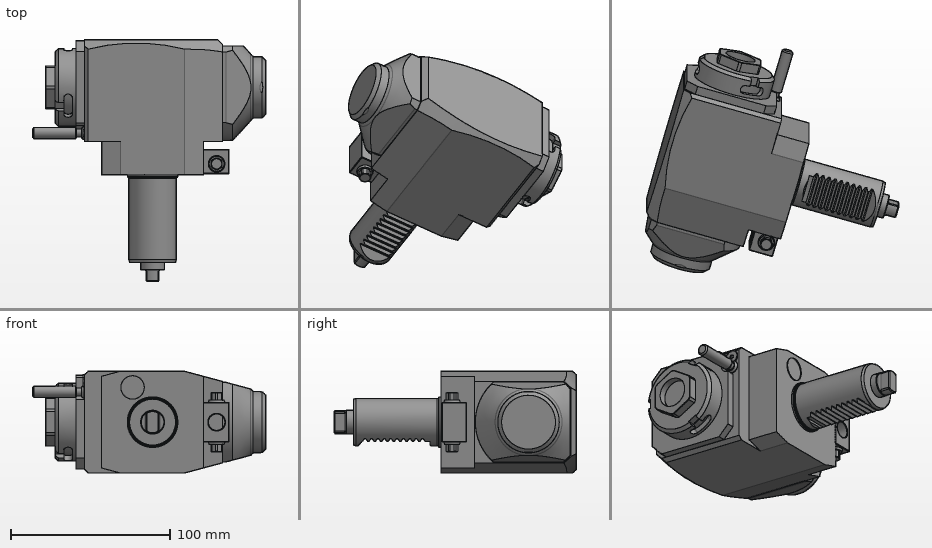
import cadquery as cq
import math


half_height = 32.0
body_left = -42.8
body_right = 44.0
body_front = 21.0
body_back = 85.0
end_chamfer = 2.4
back_corner_chamfer = 3.2
foot_half_width = 32.0
taper_start = 20.0
taper_angle = 15.0
taper_slope = math.tan(math.radians(taper_angle))

trim_center_x = -10.2
trim_radius = 122.0
trim_back_y = 82.8

spindle_y = 55.0
flare_radius = 33.4
flare_end_x = 50.2
cone_end_x = 61.6
cone_end_radius = 21.0
nose_radius = 19.3
nose_start_x = 63.1
nose_end_x = 71.1
nose_chamfer = 2.4
flare_back_y = 81.0
flare_half_height = 25.05

plate_face_x = -48.1
plate_front = 25.8
plate_back = 84.4
plate_half_height = 29.5
plate_chamfer = 7.0
notch_radius = 4.9
notch_corner_chamfer = 1.4

collar_radius = 24.5
collar_face_x = -61.2
collar_chamfer = 2.0
entry_floor_radius = 21.5
entry_width = 6.0
slot_floor_radius = 21.0
slot_center_x = -53.0
slot_width = 5.4
slot_length = 16.8
slot_count = 3

nut_face_x = -67.35
nut_across_flats = 27.0
nut_corner_diameter = 30.1
nut_bore_diameter = 18.9
nut_bore_depth = 5.0
nut_chamfer = 0.3

pin_y = 26.3
pin_z = 19.0
pin_length = 32.48
pin_end_x = body_left - pin_length
pin_radius = 3.6
pin_chamfer = 0.9
pin_neck_start_x = -48.3
pin_neck_radius = 2.5
pin_shoulder_x = -47.6
pin_flange_start_x = -44.6
pin_flange_start_radius = 3.1
pin_flange_radius = 4.1
pin_flange_thickness = 0.3
disc_radius = 4.1
disc_z = 25.8
disc_thickness = 0.8
disc_hole_radius = 1.2

shank_radius = 15.0
shank_end_y = -55.0
shank_collar_radius = 15.9
shank_collar_thickness = 1.5
shank_collar_chamfer = 0.4
shank_relief_radius = 14.9
shank_relief_end_y = -2.3
shank_tip_length = 1.8
shank_tip_reduction = 0.6
spigot_radius = 7.5
spigot_chamfer = 0.4
spigot_end_y = -59.7
tang_radius = 7.3
tang_end_y = -67.0
tang_thickness = 8.0
tang_chamfer = 0.65
tang_root_fillet = 0.8

rack_start_y = -7.0
rack_edge_chamfer = 1.0
tooth_tip_z = -12.3
tooth_root_z = -10.5
tooth_pitch = 4.0
tooth_gap_count = 10
first_gap_y = -11.5
gap_floor_width = 0.8
gap_mouth_width = 3.5
rack_ramp_end_y = -52.2

block_end_x = 48.1
block_front = 0.7
block_back = 16.1
block_half_height = 12.4
block_chamfer = 0.4
block_bore_diameter = 10.3
screw_x = 40.2
screw_y = 7.0
screw_flange_radius = 5.2
screw_flange_top_radius = 4.7
screw_flange_thickness = 1.5
screw_across_flats = 7.0
screw_corner_diameter = 7.5
screw_top_z = 18.7
screw_tip_chamfer = 0.5

recess_x = -12.55
recess_z = 21.8
recess_diameter = 14.7
recess_depth = 0.6


def box(x_range, y_range, z_range):
    """Axis-aligned box from three (low, high) ranges."""
    size = [high - low for low, high in (x_range, y_range, z_range)]
    corner = (x_range[0], y_range[0], z_range[0])
    return cq.Workplane("XY").box(*size, centered=False).translate(corner)


def turned_x(points, y=0.0, z=0.0):
    """Solid turned about an axis parallel to X; points are (x, radius)."""
    profile = [(points[0][0], 0.0)] + points + [(points[-1][0], 0.0)]
    turned = cq.Workplane("XY").polyline(profile).close().revolve(360, (0, 0, 0), (1, 0, 0))
    return turned.translate((0, y, z))


def turned_y(points):
    """Solid turned about the Y axis; points are (y, radius)."""
    profile = [(0.0, points[0][0])] + [(r, y) for y, r in points] + [(0.0, points[-1][0])]
    return cq.Workplane("XY").polyline(profile).close().revolve(360, (0, 0, 0), (0, 1, 0))


def prism_y(outline, y_low, y_high):
    """Prism along Y from an outline of (x, z) points."""
    return cq.Workplane("XZ", origin=(0, y_low, 0)).polyline(outline).close().extrude(y_low - y_high)


def prism_x(outline, x_low, x_high):
    """Prism along X from an outline of (y, z) points."""
    return cq.Workplane("YZ", origin=(x_low, 0, 0)).polyline(outline).close().extrude(x_high - x_low)


def taper_height(x):
    """Half height of the housing where it tapers away from the shank axis."""
    return half_height - (abs(x) - taper_start) * taper_slope


def mirrored_z(upper_points):
    """Close an outline of upper-half (x, z) points with its mirror image."""
    return upper_points + [(x, -z) for x, z in reversed(upper_points)]


def edge_trim_cone():
    """Cone frustum around the housing whose flank chamfers the top back edge."""
    center_y = trim_back_y - trim_radius
    profile = [
        (0, 0),
        (trim_radius + half_height, 0),
        (trim_radius, half_height),
        (0, half_height),
    ]
    upper = cq.Workplane("XZ").polyline(profile).close().revolve(360, (0, 0, 0), (0, 1, 0))
    return upper.union(upper.mirror("XY")).translate((trim_center_x, center_y, 0))


def make_body():
    upper = mirrored_z([
        (body_left, half_height - end_chamfer),
        (body_left + end_chamfer, half_height),
        (taper_start, half_height),
        (body_right, taper_height(body_right)),
    ])
    body = prism_y(upper, body_front, body_back)
    body = body.edges("|Z and >X and >Y").chamfer(back_corner_chamfer)
    body = body.intersect(edge_trim_cone())
    foot = mirrored_z([
        (-foot_half_width, taper_height(foot_half_width)),
        (-taper_start, half_height),
        (taper_start, half_height),
        (foot_half_width, taper_height(foot_half_width)),
    ])
    return body.union(prism_y(foot, 0, body_front))


def make_spindle_housing():
    turned = turned_x([
        (body_right - back_corner_chamfer, flare_radius),
        (flare_end_x, flare_radius),
        (cone_end_x, cone_end_radius),
        (nose_start_x, nose_radius),
        (nose_end_x - nose_chamfer, nose_radius),
        (nose_end_x, nose_radius - nose_chamfer),
    ], spindle_y)
    inner_x = body_right - back_corner_chamfer
    envelope = mirrored_z([
        (inner_x, flare_half_height),
        (taper_start + (half_height - flare_half_height) / taper_slope, flare_half_height),
        (nose_end_x, taper_height(nose_end_x)),
    ])
    return turned.intersect(prism_y(envelope, body_front, flare_back_y))


def make_plate():
    plate = box(
        (plate_face_x, body_left),
        (plate_front, plate_back),
        (-plate_half_height, plate_half_height),
    )
    plate = plate.edges("|X and (<Z or >Y)").chamfer(plate_chamfer)
    notch_side = pin_y + notch_radius
    notch = box((plate_face_x, body_left), (plate_front - notch_radius, notch_side), (pin_z, half_height))
    notch = notch.union(turned_x([(plate_face_x, notch_radius), (body_left, notch_radius)], pin_y, pin_z))
    plate = plate.cut(notch)
    corner = prism_x([
        (notch_side, plate_half_height),
        (notch_side + notch_corner_chamfer, plate_half_height),
        (notch_side, plate_half_height - notch_corner_chamfer),
    ], plate_face_x, body_left)
    return plate.cut(corner)


def make_collar():
    collar = turned_x([
        (collar_face_x, collar_radius - collar_chamfer),
        (collar_face_x + collar_chamfer, collar_radius),
        (plate_face_x, collar_radius),
    ])
    hook_slot = (
        cq.Workplane("XY", origin=(slot_center_x, 0, 0))
        .slot2D(slot_length, slot_width, 90)
        .extrude(collar_radius)
    )
    slot_core = turned_x([(collar_face_x, slot_floor_radius), (plate_face_x, slot_floor_radius)])
    hook_slot = hook_slot.cut(slot_core)
    entry = box(
        (collar_face_x, slot_center_x),
        (-entry_width / 2, entry_width / 2),
        (entry_floor_radius, collar_radius),
    )
    cutter = hook_slot.union(entry)
    toward_back = -90
    for index in range(slot_count):
        angle = toward_back + index * 360 / slot_count
        collar = collar.cut(cutter.rotate((0, 0, 0), (1, 0, 0), angle))
    return collar.translate((0, spindle_y, 0))


def make_nut():
    length = collar_face_x - nut_face_x
    across_corners = nut_across_flats / math.cos(math.pi / 6)
    nut = cq.Workplane("YZ", origin=(nut_face_x, 0, 0)).polygon(6, across_corners).extrude(length)
    nut = nut.rotate((0, 0, 0), (1, 0, 0), 90)
    rounding = cq.Workplane("YZ", origin=(nut_face_x, 0, 0)).circle(nut_corner_diameter / 2).extrude(length)
    nut = nut.intersect(rounding).faces("<X").chamfer(nut_chamfer)
    bore = cq.Workplane("YZ", origin=(nut_face_x, 0, 0)).circle(nut_bore_diameter / 2).extrude(nut_bore_depth)
    return nut.cut(bore).translate((0, spindle_y, 0))


def make_pin():
    return turned_x([
        (pin_end_x, pin_radius - pin_chamfer),
        (pin_end_x + pin_chamfer, pin_radius),
        (pin_neck_start_x, pin_radius),
        (pin_shoulder_x, pin_neck_radius),
        (pin_flange_start_x, pin_neck_radius),
        (pin_flange_start_x, pin_flange_start_radius),
        (body_left - pin_flange_thickness, pin_flange_radius),
        (body_left, pin_flange_radius),
    ], pin_y, pin_z)


def make_disc():
    disc = cq.Workplane("YZ", origin=(body_left - disc_thickness, pin_y, disc_z))
    return disc.circle(disc_radius).circle(disc_hole_radius).extrude(disc_thickness)


def rack_cutter():
    """Material removed below the shank: a step, a row of tooth gaps and a run-out ramp."""
    below = -shank_radius - rack_edge_chamfer
    outline = [
        (rack_start_y + rack_edge_chamfer * 2, below),
        (rack_start_y, -shank_radius + rack_edge_chamfer),
        (rack_start_y, tooth_tip_z),
    ]
    last_gap = tooth_gap_count - 1
    for index in range(tooth_gap_count):
        center = first_gap_y - index * tooth_pitch
        outline.append((center + gap_mouth_width / 2, tooth_tip_z))
        outline.append((center + gap_floor_width / 2, tooth_root_z))
        outline.append((center - gap_floor_width / 2, tooth_root_z))
        if index < last_gap:
            outline.append((center - gap_mouth_width / 2, tooth_tip_z))
    outline.append((rack_ramp_end_y, -shank_radius))
    outline.append((rack_ramp_end_y, below))
    return prism_x(outline, -shank_radius, shank_radius)


def make_tang():
    """Two-flat drive tang, chamfered at its edges and flaring into the spigot at its root."""
    half = tang_thickness / 2
    fillet_y = spigot_end_y - tang_root_fillet
    flare = half + tang_root_fillet
    arc_offset = tang_root_fillet * (1 - math.sqrt(0.5))
    blade = box((-half, half), (tang_end_y, spigot_end_y), (-tang_radius, tang_radius))
    barrel = turned_y([(spigot_end_y, tang_radius), (tang_end_y, tang_radius)])
    tang = blade.intersect(barrel).edges("not >Y").chamfer(tang_chamfer)
    root = (
        cq.Workplane("XY", origin=(0, 0, -tang_radius))
        .moveTo(half, fillet_y)
        .threePointArc((half + arc_offset, spigot_end_y - arc_offset), (flare, spigot_end_y))
        .lineTo(-flare, spigot_end_y)
        .threePointArc((-half - arc_offset, spigot_end_y - arc_offset), (-half, fillet_y))
        .close()
        .extrude(2 * tang_radius)
    )
    return tang.union(root.intersect(barrel))


def make_shank():
    shank = turned_y([
        (0, shank_collar_radius),
        (-shank_collar_thickness + shank_collar_chamfer, shank_collar_radius),
        (-shank_collar_thickness, shank_collar_radius - shank_collar_chamfer),
        (-shank_collar_thickness, shank_relief_radius),
        (shank_relief_end_y, shank_relief_radius),
        (shank_relief_end_y, shank_radius),
        (shank_end_y + shank_tip_length, shank_radius),
        (shank_end_y, shank_radius - shank_tip_reduction),
    ])
    shank = shank.cut(rack_cutter())
    spigot = turned_y([
        (shank_end_y, spigot_radius),
        (spigot_end_y + spigot_chamfer, spigot_radius),
        (spigot_end_y, spigot_radius - spigot_chamfer),
    ])
    return shank.union(spigot).union(make_tang())


def make_coolant_screw():
    flange_top = block_half_height + screw_flange_thickness
    flange = (
        cq.Workplane("XY", origin=(0, 0, block_half_height))
        .circle(screw_flange_radius)
        .workplane(offset=screw_flange_thickness)
        .circle(screw_flange_top_radius)
        .loft()
    )
    across_corners = screw_across_flats / math.cos(math.pi / 6)
    head = cq.Workplane("XY", origin=(0, 0, flange_top)).polygon(6, across_corners)
    head = head.extrude(screw_top_z - flange_top).rotate((0, 0, 0), (0, 0, 1), 90)
    rounding = cq.Workplane("XY", origin=(0, 0, flange_top)).circle(screw_corner_diameter / 2)
    rounding = rounding.extrude(screw_top_z - flange_top).faces(">Z").chamfer(screw_tip_chamfer)
    return flange.union(head.intersect(rounding)).translate((screw_x, screw_y, 0))


def make_coolant_block():
    block = box(
        (foot_half_width, block_end_x),
        (block_front, block_back),
        (-block_half_height, block_half_height),
    )
    block = block.edges("not <X").chamfer(block_chamfer)
    bore = cq.Workplane("XZ", origin=(screw_x, block_back, 0)).circle(block_bore_diameter / 2)
    block = block.cut(bore.extrude(block_back - block_front))
    block = block.faces("|Y").edges("%CIRCLE").chamfer(block_chamfer)
    screw = make_coolant_screw()
    return block.union(screw).union(screw.mirror("XY"))


def flange_recess():
    recess = cq.Workplane("XZ", origin=(recess_x, recess_depth, recess_z))
    return recess.circle(recess_diameter / 2).extrude(recess_depth)


result = make_body()
for piece in (
    make_spindle_housing(),
    make_plate(),
    make_collar(),
    make_nut(),
    make_pin(),
    make_disc(),
    make_shank(),
    make_coolant_block(),
):
    result = result.union(piece)
result = result.cut(flange_recess())